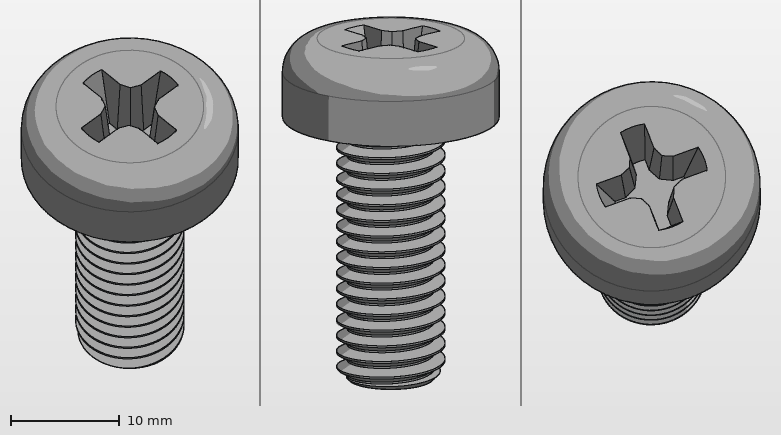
import cadquery as cq
import math

major_diameter = 10.0
pitch = 1.5
thread_length = 25.0
flank_half_angle = 30.0
crest_width = pitch / 8
root_width = pitch / 8
flank_slope = math.tan(math.radians(flank_half_angle))
thread_depth = (pitch - crest_width - root_width) / 2 / flank_slope
root_diameter = major_diameter - 2 * thread_depth
first_crest_drop = 1.28
core_overrun = 4 * pitch
foot_sink = 0.05

tip_diameter = 7.85
envelope_diameter = major_diameter + 2

head_diameter = 20.0
head_height = 7.5
head_edge_radius = 3.2

recess_depth = 5.8
recess_tip_radius = 5.15
recess_floor_radius = 3.45
wing_half_width = 1.18
wing_shoulder = 2.55
corner_offset = 1.6
floor_wing_half_width = 0.63
floor_wing_shoulder = 2.35
floor_corner_offset = 1.2


def make_head():
    """Cylinder with a flat underside and a rounded top edge."""
    head = cq.Workplane("XY").circle(head_diameter / 2).extrude(head_height)
    return head.faces(">Z").edges().fillet(head_edge_radius)


def make_ridge():
    """Right-hand helical thread ridge that runs past both ends of the shank.

    Its flat crest and sloping flanks are ruled between helices; its foot is sunk into the core.
    """
    crest_radius = major_diameter / 2
    foot_radius = root_diameter / 2 - foot_sink
    foot_width = crest_width + 2 * (crest_radius - foot_radius) * flank_slope
    profile = [
        (foot_radius, -foot_width / 2),
        (crest_radius, -crest_width / 2),
        (crest_radius, crest_width / 2),
        (foot_radius, foot_width / 2),
    ]
    overrun = 2 * pitch
    turns_below = math.ceil((thread_length + overrun) / pitch)
    start_z = -first_crest_drop - turns_below * pitch
    helix_height = overrun - start_z
    helices = [
        cq.Wire.makeHelix(pitch, helix_height, radius).translate(cq.Vector(0, 0, start_z + rise))
        for radius, rise in profile
    ]
    start_points = [helix.startPoint() for helix in helices]
    end_points = [helix.endPoint() for helix in helices]

    faces = [
        cq.Face.makeRuledSurface(helix, helices[index - 1])
        for index, helix in enumerate(helices)
    ]
    for corners in (start_points, end_points):
        faces.append(cq.Face.makeFromWires(cq.Wire.makePolygon(corners, close=True)))
    return cq.Workplane(obj=cq.Solid.makeSolid(cq.Shell.makeShell(faces)))


def make_shank():
    """Core cylinder with the thread ridge, flat under the head and chamfered at the tip."""
    core = (
        cq.Workplane("XY", origin=(0, 0, core_overrun))
        .circle(root_diameter / 2)
        .extrude(-thread_length - 2 * core_overrun)
    )
    envelope = (
        cq.Workplane("XY")
        .circle(envelope_diameter / 2)
        .extrude(-thread_length)
        .faces("<Z")
        .chamfer((envelope_diameter - tip_diameter) / 2)
    )
    return core.union(make_ridge()).intersect(envelope)


def cross_outline(half_width, shoulder, corner):
    """Cross of four wings that reach past the recess tips, with flared inner corners."""
    wing_reach = 2 * recess_tip_radius
    quarter = [
        (wing_reach, half_width),
        (shoulder, half_width),
        (corner, corner),
        (half_width, shoulder),
        (half_width, wing_reach),
    ]
    outline = []
    for _ in range(4):
        outline += quarter
        quarter = [(-y, x) for x, y in quarter]
    return outline


def make_recess():
    """Four tapered wings with flared inner corners, bounded by a cone at the wing tips."""
    top = cq.Workplane("XY", origin=(0, 0, head_height))
    cross = (
        top.polyline(cross_outline(wing_half_width, wing_shoulder, corner_offset))
        .close()
        .workplane(offset=-recess_depth)
        .polyline(cross_outline(floor_wing_half_width, floor_wing_shoulder, floor_corner_offset))
        .close()
        .loft(ruled=True)
    )
    cone = (
        top.circle(recess_tip_radius)
        .workplane(offset=-recess_depth)
        .circle(recess_floor_radius)
        .loft()
    )
    return cross.intersect(cone)


result = make_head().union(make_shank()).cut(make_recess())